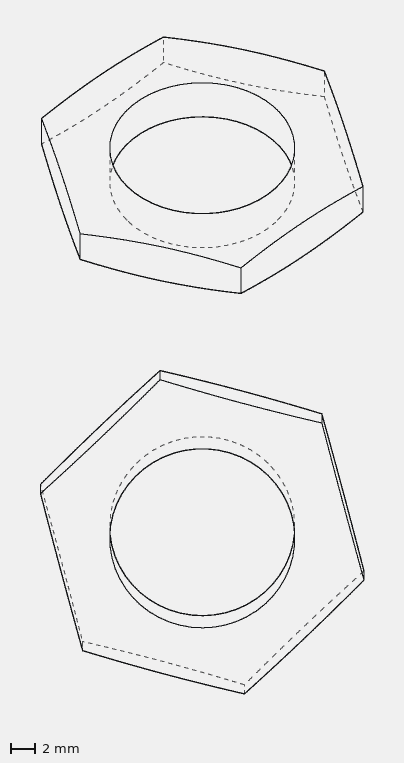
import cadquery as cq
import math

across_corners = 27.7
thickness = 4.0
bore_diameter = 15.27
chamfer_angle = 15.0

corner_radius = across_corners / 2
flat_radius = corner_radius * math.cos(math.radians(30))
corner_drop = (corner_radius - flat_radius) * math.tan(math.radians(chamfer_angle))
half_thickness = thickness / 2


def hexagon_blank():
    """Hexagonal prism centred on the origin, with corners on the X axis."""
    return cq.Workplane("XY").polygon(6, across_corners).extrude(half_thickness, both=True)


def chamfer_envelope():
    """Turned body whose conical edges start at the circle inside the flats."""
    edge_height = half_thickness - corner_drop
    overrun = 0.28
    rim_radius = corner_radius + overrun
    rim_height = edge_height - overrun * math.tan(math.radians(chamfer_angle))
    profile = [
        (0, -half_thickness),
        (flat_radius, -half_thickness),
        (rim_radius, -rim_height),
        (rim_radius, rim_height),
        (flat_radius, half_thickness),
        (0, half_thickness),
    ]
    return cq.Workplane("XZ").polyline(profile).close().revolve(360, (0, 0), (0, 1))


def bore():
    """Plain through hole on the nut axis."""
    return cq.Workplane("XY").cylinder(thickness, bore_diameter / 2)


result = hexagon_blank().intersect(chamfer_envelope()).cut(bore())